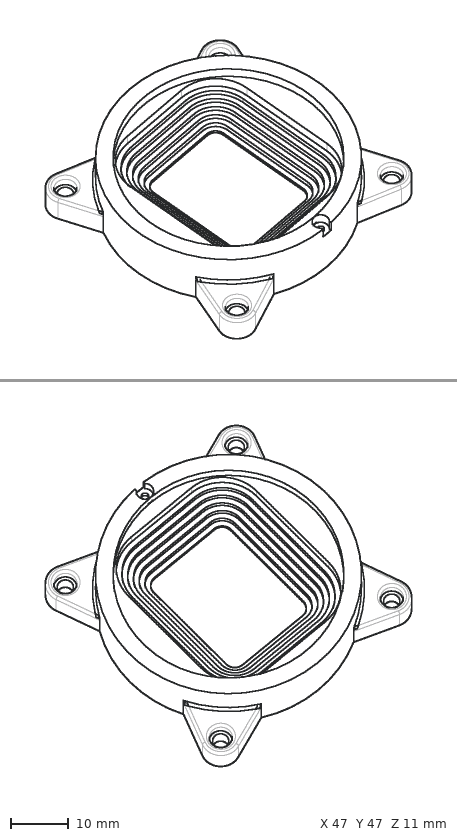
import cadquery as cq
import math

height = 11.0
ring_diameter = 46.1
bore_diameter = 40.0
bore_depth = 2.0

step_count = 6
step_height = 1.0
well_length = 34.7
well_width = 30.05
well_depth = 2.0
opening_length = 22.7
opening_corner_radius = 2.0
lip_thickness = 0.5

overall_width = 47.0
ear_height = 5.0
ear_radius = 3.5
ear_half_angle = 25.0
ear_angles = (45, 135, 225, 315)
ear_hole_diameter = 2.8
ear_counterbore_diameter = 4.0
ear_counterbore_depth = 2.0
ear_fillet = 0.5

notch_diameter = 3.0
notch_slot_width = 2.0
notch_depth = 2.0
notch_hole_diameter = 1.3
notch_hole_depth = 3.0

ring_radius = ring_diameter / 2
bore_radius = bore_diameter / 2
bore_floor = height - bore_depth
well_floor = bore_floor - well_depth
step_width = (well_length - opening_length) / (2 * step_count)
lip_top = well_floor - (step_count - 1) * step_height
lip_bottom = lip_top - lip_thickness
ear_offset = overall_width / 2 - ear_radius
ear_distance = math.hypot(ear_offset, ear_offset)
notch_center = (ring_radius + bore_radius) / 2


def ear_prism(prism_height):
    """Ear outline along +X: a round tip whose tangent sides widen toward the ring."""
    half_angle = math.radians(ear_half_angle)
    tangent_x = ear_distance + ear_radius * math.sin(half_angle)
    tangent_y = ear_radius * math.cos(half_angle)
    root_x = bore_radius
    root_y = tangent_y + (tangent_x - root_x) * math.tan(half_angle)
    return (
        cq.Workplane("XY")
        .moveTo(root_x, -root_y)
        .lineTo(tangent_x, -tangent_y)
        .threePointArc((ear_distance + ear_radius, 0), (tangent_x, tangent_y))
        .lineTo(root_x, root_y)
        .close()
        .extrude(prism_height)
    )


def ear_cove():
    """Concave fillet between the ear's top face and the ring wall, ending at the ear's sides."""
    cove_top = ear_height + ear_fillet
    cove_edge = ring_radius + ear_fillet
    arc_drop = ear_fillet * math.sqrt(0.5)
    profile = (
        cq.Workplane("XZ")
        .moveTo(bore_radius, ear_height)
        .lineTo(cove_edge, ear_height)
        .threePointArc((cove_edge - arc_drop, cove_top - arc_drop), (ring_radius, cove_top))
        .lineTo(bore_radius, cove_top)
        .close()
    )
    return profile.revolve(360, (0, 0, 0), (0, 1, 0)).intersect(ear_prism(cove_top))


def ear():
    """Ear along +X with a rounded top edge and a counterbored hole rounded at its mouth."""
    bored = (
        ear_prism(ear_height)
        .faces(">Z")
        .workplane(origin=(ear_distance, 0, 0))
        .cboreHole(ear_hole_diameter, ear_counterbore_diameter, ear_counterbore_depth)
    )
    rounded = bored.faces(">Z").edges("not <X").fillet(ear_fillet)
    return rounded.union(ear_cove())


def rounded_block(inset, bottom, top):
    """Well outline moved inward by inset, between two heights."""
    corner_radius = opening_corner_radius + step_count * step_width - inset
    return (
        cq.Workplane("XY", origin=(0, 0, bottom))
        .rect(well_length - 2 * inset, well_width - 2 * inset)
        .extrude(top - bottom)
        .edges("|Z")
        .fillet(corner_radius)
    )


def stepped_funnel():
    """Round bore, then a well whose outline shrinks step by step, opening into an underside recess."""
    funnel = cq.Workplane("XY", origin=(0, 0, bore_floor)).circle(bore_radius).extrude(bore_depth)
    for step in range(step_count):
        funnel = funnel.union(rounded_block(step * step_width, well_floor - step * step_height, bore_floor))
    opening = rounded_block(step_count * step_width, 0, bore_floor)
    recess = rounded_block(0, 0, lip_bottom)
    return funnel.union(opening).union(recess)


def index_notch():
    """Round pocket in the +X rim, open outward through a slot, with a small blind hole in its floor."""
    rim = cq.Workplane("XY", origin=(notch_center, 0, height))
    pocket = rim.circle(notch_diameter / 2).extrude(-notch_depth)
    slot = rim.center(notch_diameter / 2, 0).rect(notch_diameter, notch_slot_width).extrude(-notch_depth)
    hole = rim.circle(notch_hole_diameter / 2).extrude(-notch_hole_depth)
    return pocket.union(slot).union(hole)


result = cq.Workplane("XY").circle(ring_radius).extrude(height)
for angle in ear_angles:
    result = result.union(ear().rotate((0, 0, 0), (0, 0, 1), angle))
result = result.cut(stepped_funnel()).cut(index_notch())